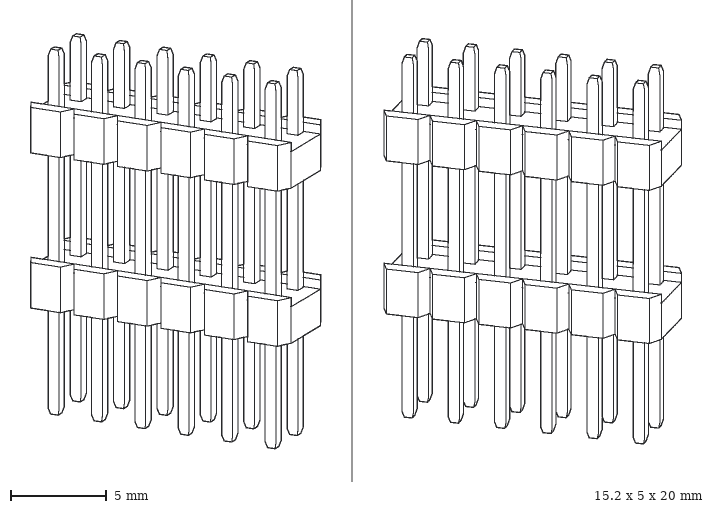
import cadquery as cq

PITCH = 2.54
PINS_PER_ROW = 6
ROWS = 2
PIN_LENGTH = 20.0
STRIP_LENGTH = PINS_PER_ROW * PITCH
STRIP_WIDTH = 5.0

PIN_WIDTH = 0.64
TIP_LENGTH = 0.35
TIP_WIDTH = 0.44

WALL_HEIGHT = 2.5
FLOOR_HEIGHT = 2.0
WALL_THICKNESS = 0.8
CORE_WIDTH = STRIP_WIDTH - 2 * WALL_THICKNESS
WALL_BEVEL = 0.4
WALL_ROOT_OVERLAP = 0.02

LOWER_STRIP_Z = 6.0
STRIP_SPACING = 8.5
STRIP_BASES = (LOWER_STRIP_Z, LOWER_STRIP_Z + STRIP_SPACING)


def centred_positions(count):
    """Positions one pitch apart, centred on zero."""
    return [(index - (count - 1) / 2) * PITCH for index in range(count)]


COLUMN_XS = centred_positions(PINS_PER_ROW)
ROW_YS = centred_positions(ROWS)


def wall_segment(x, side):
    """One wall segment at column x, with bevelled vertical corners on the outside."""
    half_root = PITCH / 2
    half_face = half_root - WALL_BEVEL
    y_inner = side * (CORE_WIDTH / 2 - WALL_ROOT_OVERLAP)
    y_root = side * CORE_WIDTH / 2
    y_outer = side * STRIP_WIDTH / 2
    outline = [
        (x - half_root, y_inner),
        (x + half_root, y_inner),
        (x + half_root, y_root),
        (x + half_face, y_outer),
        (x - half_face, y_outer),
        (x - half_root, y_root),
    ]
    return cq.Workplane("XY").polyline(outline).close().extrude(WALL_HEIGHT)


def insulator_strip():
    """Floor slab with a row of wall segments along each long side, base at Z = 0."""
    strip = cq.Workplane("XY").box(
        STRIP_LENGTH, CORE_WIDTH, FLOOR_HEIGHT, centered=(True, True, False)
    )
    for side in (-1, 1):
        for x in COLUMN_XS:
            strip = strip.union(wall_segment(x, side))
    return strip


def tapered_tip(z, direction):
    """Pin end starting at height z and narrowing upward (+1) or downward (-1)."""
    return (
        cq.Workplane("XY", origin=(0, 0, z))
        .rect(PIN_WIDTH, PIN_WIDTH)
        .workplane(offset=direction * TIP_LENGTH)
        .rect(TIP_WIDTH, TIP_WIDTH)
        .loft(ruled=True)
    )


def pin():
    """Straight square pin with a tapered tip at both ends, lower end at Z = 0."""
    shaft_length = PIN_LENGTH - 2 * TIP_LENGTH
    shaft = cq.Workplane("XY", origin=(0, 0, TIP_LENGTH)).box(
        PIN_WIDTH, PIN_WIDTH, shaft_length, centered=(True, True, False)
    )
    lower_tip = tapered_tip(TIP_LENGTH, -1)
    upper_tip = tapered_tip(PIN_LENGTH - TIP_LENGTH, 1)
    return shaft.union(lower_tip).union(upper_tip)


def header():
    """Both strips joined by the full grid of pins."""
    strip = insulator_strip()
    single_pin = pin()
    lower_z, upper_z = STRIP_BASES
    body = strip.translate((0, 0, lower_z)).union(strip.translate((0, 0, upper_z)))
    for y in ROW_YS:
        for x in COLUMN_XS:
            body = body.union(single_pin.translate((x, y, 0)))
    return body


result = header()